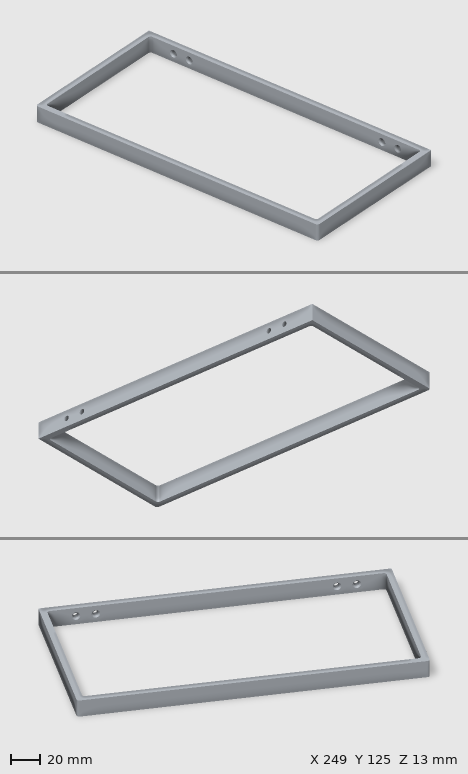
import cadquery as cq

length = 249.0
width = 125.0
height = 13.0
wall = 5.0
inner_corner_radius = 2.0
front_corner_radius = 2.0

hole_diameter = 4.0
countersink_diameter = 6.0
countersink_depth = 1.1
hole_spacing = 14.0
end_to_first_hole = 25.5


def make_frame():
    """Rectangular ring: rounded front corners, sharp back corners, rounded opening."""
    outer = cq.Workplane("XY").box(length, width, height)
    outer = outer.edges("|Z and <Y").fillet(front_corner_radius)
    opening = cq.Workplane("XY").box(length - 2 * wall, width - 2 * wall, height)
    opening = opening.edges("|Z").fillet(inner_corner_radius)
    return outer.cut(opening)


def make_screw_hole(x):
    """Cylinder through the back wall with a cone widening toward the frame's inside."""
    hole_radius = hole_diameter / 2
    countersink_radius = countersink_diameter / 2
    inside_y = width / 2 - wall
    outside_y = width / 2
    profile = (
        cq.Workplane("XY")
        .moveTo(x, inside_y)
        .lineTo(x + countersink_radius, inside_y)
        .lineTo(x + hole_radius, inside_y + countersink_depth)
        .lineTo(x + hole_radius, outside_y)
        .lineTo(x, outside_y)
        .close()
    )
    return profile.revolve(360, (x, inside_y), (x, outside_y))


result = make_frame()
outer_hole_x = length / 2 - end_to_first_hole
inner_hole_x = outer_hole_x - hole_spacing
for hole_x in (-outer_hole_x, -inner_hole_x, inner_hole_x, outer_hole_x):
    result = result.cut(make_screw_hole(hole_x))